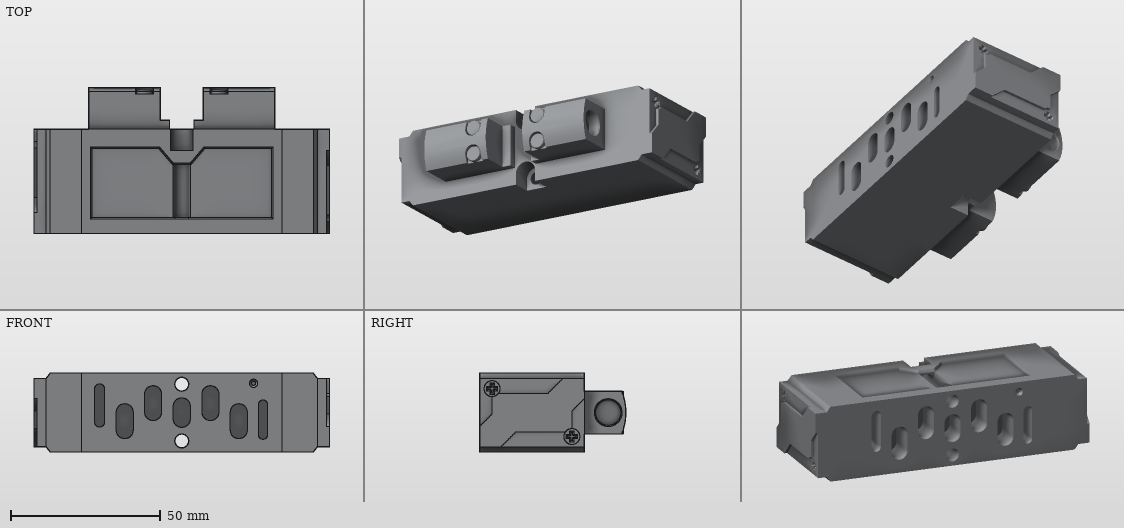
import cadquery as cq
import math

LENGTH = 99.0
DEPTH = 35.0
HEIGHT = 26.5
BODY_HALF_LENGTH = 33.6
ADAPTER_END_X = 45.4

ADAPTER_CHAMFER_X = 1.4
ADAPTER_CHAMFER_Z = 1.8

CORNER_RECESS = 1.0
RECESS_INNER_Y = 12.2
RECESS_EDGE_Z = 6.4
RECESS_BEND_Z = 0.5
SCREW_EDGE_DISTANCE = 4.2
SCREW_Z = 8.0

SCREW_RADIUS = 2.7
SCREW_SINK = 0.1
CROSS_SPAN = 3.8
CROSS_WIDTH = 1.5
CROSS_DEPTH = 1.0
CROSS_INSET = 0.5

PORT_WIDTH = 5.7
PORT_DEPTH = 9.9
PORTS = [
    (-19.1, -2.9, PORT_WIDTH, 11.7),
    (-9.6, 3.2, PORT_WIDTH, 11.7),
    (0, 0, PORT_WIDTH, 9.9),
    (9.6, 3.2, PORT_WIDTH, 11.7),
    (19.1, -2.9, PORT_WIDTH, 11.7),
    (-27.5, 2.4, 3.4, 14.5),
    (27.2, -2.4, 3.1, 13.2),
]

MOUNT_RADIUS = 2.3
MOUNT_Z = 9.5
MOUNT_SEAT_RADIUS = 3.8
MOUNT_SEAT_DEPTH = 7.1
LOCATING_X = 24.1
LOCATING_Z = 9.8
LOCATING_MOUTH_RADIUS = 1.4
LOCATING_FLOOR_RADIUS = 0.7
LOCATING_DEPTH = 1.0

POCKET_HALF_LENGTH = 30.6
POCKET_FRONT_Y = 4.9
POCKET_BACK_Y = 29.1
POCKET_NECK_Y = 23.7
POCKET_NOTCH_HALF = 7.5
POCKET_NECK_HALF = 2.9
POCKET_DEPTH = 1.0
POCKET_INSET = 0.5

CONNECTOR_OUTER_X = 31.2
CONNECTOR_INNER_X = 7.1
CONNECTOR_FOOT_X = 4.1
CONNECTOR_FOOT_DEPTH = 3.0
CONNECTOR_HALF_HEIGHT = 7.2
CONNECTOR_EDGE_Y = 47.6
CONNECTOR_CROWN_Y = 49.0
CABLE_Y = 43.1
CABLE_RADIUS = 4.3
CABLE_MOUTH_CHAMFER = 0.4
CABLE_DEPTH = 4.0

BUTTON_X = 12.5
BUTTON_RADIUS = 2.7
BUTTON_FACE_Y = 48.2
BUTTON_BEVEL_Y = 0.6
BUTTON_BEVEL_RADIAL = 0.2
SLOT_RADIUS = 3.0
SLOT_FLOOR_Y = 46.7

HALF_LENGTH = LENGTH / 2
HALF_HEIGHT = HEIGHT / 2
COVER_HALF_HEIGHT = HALF_HEIGHT - ADAPTER_CHAMFER_Z
SCREW_INNER_Y = DEPTH - SCREW_EDGE_DISTANCE
SCREW_FACE_X = HALF_LENGTH - CORNER_RECESS - SCREW_SINK
CROSS_TAPER = math.degrees(math.atan(CROSS_INSET / CROSS_DEPTH))
BUTTON_Z = CONNECTOR_HALF_HEIGHT - BUTTON_RADIUS
POCKET_TAPER = math.degrees(math.atan(POCKET_INSET / POCKET_DEPTH))


def box_between(x0, x1, y0, y1, z0, z1):
    return cq.Workplane("XY").box(x1 - x0, y1 - y0, z1 - z0, centered=False).translate((x0, y0, z0))


def rod_y(x, z, radius, y0, y1):
    """Cylinder along Y from y0 to y1."""
    return cq.Workplane("XZ", origin=(x, y0, z)).circle(radius).extrude(y0 - y1)


def half_turn(part):
    """The same part at the opposite end, turned about the vertical middle axis of the valve."""
    return part.rotate((0, DEPTH / 2, 0), (0, DEPTH / 2, 1), 180)


def label_pocket():
    right_half = [
        (POCKET_NECK_HALF, POCKET_NECK_Y),
        (POCKET_NOTCH_HALF, POCKET_BACK_Y),
        (POCKET_HALF_LENGTH, POCKET_BACK_Y),
        (POCKET_HALF_LENGTH, POCKET_FRONT_Y),
    ]
    left_half = [(-x, y) for x, y in reversed(right_half)]
    return (
        cq.Workplane("XY", origin=(0, 0, HALF_HEIGHT))
        .polyline(right_half + left_half).close()
        .extrude(-POCKET_DEPTH, taper=POCKET_TAPER)
    )


def pocket_groove():
    """Groove with sloping walls from the pocket floor down to the middle of the upper mounting hole."""
    floor_z = HALF_HEIGHT - POCKET_DEPTH
    front_y = POCKET_FRONT_Y + POCKET_INSET
    back_y = POCKET_NECK_Y - POCKET_INSET
    profile = [
        (-POCKET_NECK_HALF, floor_z),
        (POCKET_NECK_HALF, floor_z),
        (MOUNT_RADIUS, MOUNT_Z),
        (-MOUNT_RADIUS, MOUNT_Z),
    ]
    return cq.Workplane("XZ", origin=(0, front_y, 0)).polyline(profile).close().extrude(front_y - back_y)


def mounting_hole(side):
    """Through hole with a screw seat that is open to the back and to the nearest Z face."""
    seat_front = DEPTH - MOUNT_SEAT_DEPTH
    seat_ends = sorted((side * MOUNT_Z, side * HALF_HEIGHT))
    hole = rod_y(0, side * MOUNT_Z, MOUNT_RADIUS, 0, DEPTH)
    seat = rod_y(0, side * MOUNT_Z, MOUNT_SEAT_RADIUS, seat_front, DEPTH)
    opening = box_between(-MOUNT_SEAT_RADIUS, MOUNT_SEAT_RADIUS, seat_front, DEPTH, *seat_ends)
    return hole.union(seat).union(opening)


def port(x, z, width, height):
    return (
        cq.Workplane("XZ", origin=(x, 0, z))
        .slot2D(height, width, 90).extrude(-PORT_DEPTH)
    )


def locating_hole():
    cone = cq.Solid.makeCone(
        LOCATING_MOUTH_RADIUS, LOCATING_FLOOR_RADIUS, LOCATING_DEPTH,
        pnt=cq.Vector(LOCATING_X, 0, LOCATING_Z), dir=cq.Vector(0, 1, 0))
    return cq.Workplane(cone)


def valve_body():
    body = box_between(-BODY_HALF_LENGTH, BODY_HALF_LENGTH, 0, DEPTH, -HALF_HEIGHT, HALF_HEIGHT)
    body = body.cut(label_pocket()).cut(pocket_groove()).cut(locating_hole())
    for side in (1, -1):
        body = body.cut(mounting_hole(side))
    for placement in PORTS:
        body = body.cut(port(*placement))
    return body


def cable_hole():
    mouth_radius = CABLE_RADIUS + CABLE_MOUTH_CHAMFER
    profile = [
        (-CONNECTOR_OUTER_X, 0),
        (-CONNECTOR_OUTER_X, mouth_radius),
        (-CONNECTOR_OUTER_X + CABLE_MOUTH_CHAMFER, CABLE_RADIUS),
        (-CONNECTOR_OUTER_X + CABLE_DEPTH, CABLE_RADIUS),
        (-CONNECTOR_OUTER_X + CABLE_DEPTH, 0),
    ]
    hole = cq.Workplane("XY").polyline(profile).close().revolve(360, (0, 0), (1, 0))
    return hole.translate((0, CABLE_Y, 0))


def button(side):
    """Round button standing on the slot floor, with a steep bevel around its face."""
    profile = [
        (0, SLOT_FLOOR_Y),
        (BUTTON_RADIUS, SLOT_FLOOR_Y),
        (BUTTON_RADIUS, BUTTON_FACE_Y - BUTTON_BEVEL_Y),
        (BUTTON_RADIUS - BUTTON_BEVEL_RADIAL, BUTTON_FACE_Y),
        (0, BUTTON_FACE_Y),
    ]
    turned = cq.Workplane("XY").polyline(profile).close().revolve(360, (0, 0), (0, 1))
    return turned.translate((-BUTTON_X, 0, side * BUTTON_Z))


def connector():
    """Connector on the -X side, with its cable hole facing -X."""
    outline = [
        (-CONNECTOR_OUTER_X, DEPTH),
        (-CONNECTOR_FOOT_X, DEPTH),
        (-CONNECTOR_FOOT_X, DEPTH + CONNECTOR_FOOT_DEPTH),
        (-CONNECTOR_INNER_X, DEPTH + CONNECTOR_FOOT_DEPTH),
        (-CONNECTOR_INNER_X, CONNECTOR_CROWN_Y),
        (-CONNECTOR_OUTER_X, CONNECTOR_CROWN_Y),
    ]
    block = (
        cq.Workplane("XY", origin=(0, 0, -CONNECTOR_HALF_HEIGHT))
        .polyline(outline).close().extrude(2 * CONNECTOR_HALF_HEIGHT)
    )
    crowned = (
        cq.Workplane("YZ", origin=(-CONNECTOR_OUTER_X, 0, 0))
        .moveTo(DEPTH, -CONNECTOR_HALF_HEIGHT)
        .lineTo(CONNECTOR_EDGE_Y, -CONNECTOR_HALF_HEIGHT)
        .threePointArc((CONNECTOR_CROWN_Y, 0), (CONNECTOR_EDGE_Y, CONNECTOR_HALF_HEIGHT))
        .lineTo(DEPTH, CONNECTOR_HALF_HEIGHT)
        .close().extrude(CONNECTOR_OUTER_X)
    )
    part = block.intersect(crowned)
    for side in (1, -1):
        slot = rod_y(-BUTTON_X, side * BUTTON_Z, SLOT_RADIUS, SLOT_FLOOR_Y, CONNECTOR_CROWN_Y)
        slot_ends = sorted((side * BUTTON_Z, side * HALF_HEIGHT))
        slot = slot.union(box_between(
            -BUTTON_X - SLOT_RADIUS, -BUTTON_X + SLOT_RADIUS, SLOT_FLOOR_Y, CONNECTOR_CROWN_Y, *slot_ends))
        part = part.cut(slot).union(button(side))
    return part.cut(cable_hole())


def adapter_plate():
    """Plate between the valve body and the end cover at the -X end."""
    upper_half = [
        (-BODY_HALF_LENGTH, HALF_HEIGHT),
        (-ADAPTER_END_X + ADAPTER_CHAMFER_X, HALF_HEIGHT),
        (-ADAPTER_END_X, COVER_HALF_HEIGHT),
    ]
    lower_half = [(x, -z) for x, z in reversed(upper_half)]
    return cq.Workplane("XZ").polyline(upper_half + lower_half).close().extrude(-DEPTH)


def corner_recess():
    """Angled recess in the upper back corner of the -X end face."""
    diagonal_rise = COVER_HALF_HEIGHT - RECESS_EDGE_Z
    outline = [
        (RECESS_INNER_Y - diagonal_rise, COVER_HALF_HEIGHT),
        (RECESS_INNER_Y, RECESS_EDGE_Z),
        (SCREW_INNER_Y, RECESS_EDGE_Z),
        (SCREW_INNER_Y, -RECESS_BEND_Z),
        (DEPTH, -RECESS_BEND_Z - SCREW_EDGE_DISTANCE),
        (DEPTH, COVER_HALF_HEIGHT),
    ]
    return cq.Workplane("YZ", origin=(-HALF_LENGTH, 0, 0)).polyline(outline).close().extrude(CORNER_RECESS)


def screw_recess():
    """Round sink and tapered cross of the screw head in the upper back corner."""
    sink = (
        cq.Workplane("YZ", origin=(-HALF_LENGTH, SCREW_INNER_Y, SCREW_Z))
        .circle(SCREW_RADIUS).extrude(HALF_LENGTH - SCREW_FACE_X)
    )
    cross = (
        cq.Workplane("YZ", origin=(-SCREW_FACE_X, SCREW_INNER_Y, SCREW_Z))
        .sketch().rect(CROSS_SPAN, CROSS_WIDTH).rect(CROSS_WIDTH, CROSS_SPAN).clean().finalize()
        .extrude(CROSS_DEPTH, taper=CROSS_TAPER)
    )
    return sink.union(cross)


def end_cover():
    """Cover at the -X end; its two corners match after half a turn about the X direction."""
    cover = box_between(-HALF_LENGTH, -ADAPTER_END_X, 0, DEPTH, -COVER_HALF_HEIGHT, COVER_HALF_HEIGHT)
    for angle in (0, 180):
        for recess in (corner_recess(), screw_recess()):
            cover = cover.cut(recess.rotate((0, DEPTH / 2, 0), (1, DEPTH / 2, 0), angle))
    return cover


body = valve_body()

left_connector = connector()
connectors = [left_connector, left_connector.mirror("YZ")]

left_adapter = adapter_plate()
adapters = [left_adapter, half_turn(left_adapter)]

left_cover = end_cover()
covers = [left_cover, half_turn(left_cover)]

result = cq.Compound.makeCompound([part.val() for part in [body, *connectors, *adapters, *covers]])